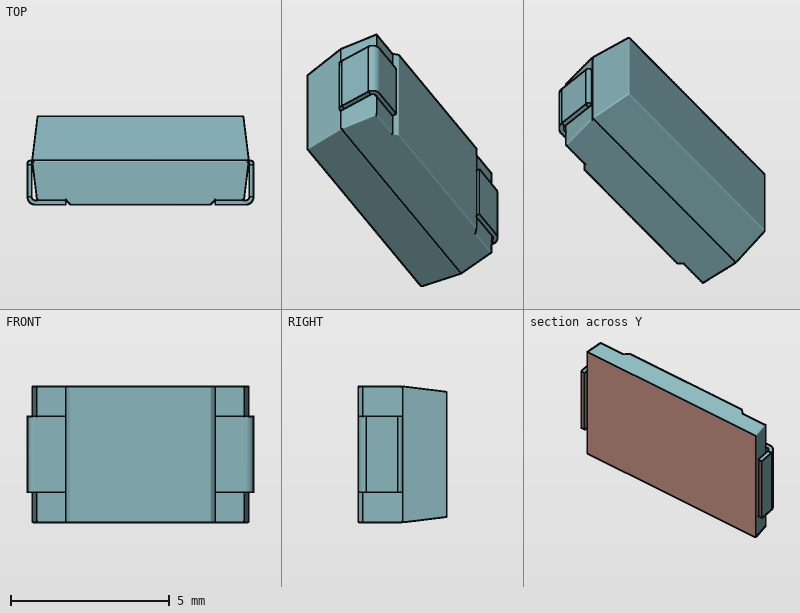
import cadquery as cq
import math


length = 7.14
depth = 2.8
width = 4.3
mount_y = -depth / 2
back_y = depth / 2

lead_thickness = 0.14
lead_width = 2.4
bend_outer_radius = 0.25
bend_inner_radius = bend_outer_radius - lead_thickness
corner_radius = 0.1
foot_end_x = 2.355
lead_outer_x = length / 2
lead_inner_x = lead_outer_x - lead_thickness
foot_top_y = mount_y + lead_thickness
leg_bottom_y = mount_y + bend_outer_radius
leg_top_y = -lead_thickness
bend_centre_x = lead_outer_x - bend_outer_radius

housing_length = 6.84
draft_angle = 7.0
edge_radius = 0.05
parting_half_x = housing_length / 2
ledge_half_x = parting_half_x + foot_top_y * math.tan(math.radians(draft_angle))
pedestal_root_x = foot_end_x
pedestal_half_x = pedestal_root_x - lead_thickness


def make_front_housing():
    """Half with a central pedestal between two ledges that rest on the lead feet."""
    half = (
        cq.Workplane("XY")
        .workplane(offset=-width / 2)
        .polyline([
            (-parting_half_x, 0),
            (parting_half_x, 0),
            (ledge_half_x, foot_top_y),
            (pedestal_root_x, foot_top_y),
            (pedestal_half_x, mount_y),
            (-pedestal_half_x, mount_y),
            (-pedestal_root_x, foot_top_y),
            (-ledge_half_x, foot_top_y),
        ])
        .close()
        .extrude(width)
    )
    half = half.edges("|Z and <Y").fillet(edge_radius)
    return half.faces("<Z or >Z").edges().fillet(edge_radius)


def make_back_housing():
    """Half that tapers on all four sides towards the back face, with every edge rounded."""
    half = (
        cq.Workplane("ZX")
        .rect(width, housing_length)
        .extrude(back_y, taper=draft_angle)
    )
    return half.edges().fillet(edge_radius)


def extrude_lead_profile(profile):
    """Extrude a closed XY profile over the lead width, centred on Z = 0."""
    return profile.extrude(lead_width / 2, both=True)


def make_lead_corner():
    """Top block of the lead beside the parting plane, with its outer corner rounded."""
    block = extrude_lead_profile(
        cq.Workplane("XY")
        .moveTo(lead_inner_x, leg_top_y)
        .lineTo(lead_outer_x, leg_top_y)
        .lineTo(lead_outer_x, 0)
        .lineTo(lead_inner_x, 0)
        .close()
    )
    return block.edges("|Z and >X and >Y").fillet(corner_radius)


def make_lead_leg():
    """Straight strip beside the end of the housing."""
    return extrude_lead_profile(
        cq.Workplane("XY")
        .moveTo(lead_inner_x, leg_bottom_y)
        .lineTo(lead_outer_x, leg_bottom_y)
        .lineTo(lead_outer_x, leg_top_y)
        .lineTo(lead_inner_x, leg_top_y)
        .close()
    )


def make_lead_foot():
    """Quarter bend and the flat foot that runs under the housing ledge."""
    return extrude_lead_profile(
        cq.Workplane("XY")
        .moveTo(lead_inner_x, leg_bottom_y)
        .lineTo(lead_outer_x, leg_bottom_y)
        .radiusArc((bend_centre_x, mount_y), bend_outer_radius)
        .lineTo(foot_end_x, mount_y)
        .lineTo(foot_end_x, foot_top_y)
        .lineTo(bend_centre_x, foot_top_y)
        .radiusArc((lead_inner_x, leg_bottom_y), -bend_inner_radius)
        .close()
    )


front_housing = make_front_housing()
back_housing = make_back_housing()

lead_pieces = []
for make_piece in (make_lead_corner, make_lead_leg, make_lead_foot):
    right_piece = make_piece()
    left_piece = right_piece.mirror("YZ")
    lead_pieces.append(right_piece.val())
    lead_pieces.append(left_piece.val())

result = cq.Compound.makeCompound([front_housing.val(), back_housing.val(), *lead_pieces])